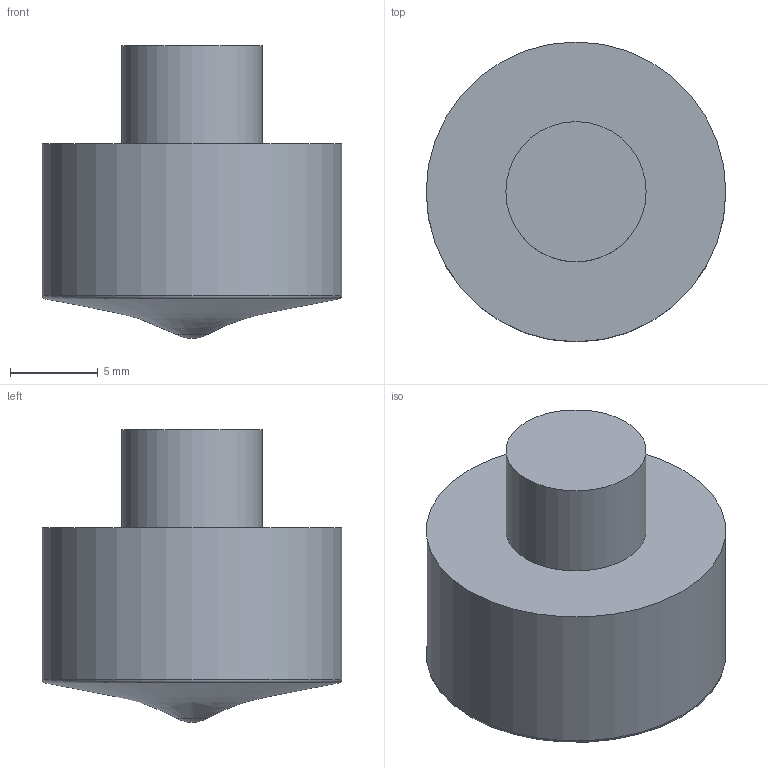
import cadquery as cq
import math

body_diameter = 17.1
pin_diameter = 8.0
total_height = 16.7
pin_height = 5.6

tip_radius = 1.8
flare_radius = 12.0
tip_angle = math.radians(28.5)
cone_angle = math.radians(11.0)
rim_radius = 0.2

body_radius = body_diameter / 2
pin_radius = pin_diameter / 2
shoulder_z = total_height - pin_height


def arc_point(center, radius, angle):
    """Point (r, z) on an arc; the angle is measured from straight down."""
    return (center[0] + radius * math.sin(angle), center[1] - radius * math.cos(angle))


tip_center = (0, tip_radius)
tip_end = arc_point(tip_center, tip_radius, tip_angle)
tip_mid = arc_point(tip_center, tip_radius, tip_angle / 2)

flare_center = arc_point(tip_center, tip_radius + flare_radius, tip_angle)
flare_mid = arc_point(flare_center, -flare_radius, (tip_angle + cone_angle) / 2)
flare_end = arc_point(flare_center, -flare_radius, cone_angle)

rim_center_r = body_radius - rim_radius
cone_z_below_rim_center = flare_end[1] + (rim_center_r - flare_end[0]) * math.tan(cone_angle)
rim_center = (rim_center_r, cone_z_below_rim_center + rim_radius / math.cos(cone_angle))
wall_angle = math.pi / 2
rim_start = arc_point(rim_center, rim_radius, cone_angle)
rim_mid = arc_point(rim_center, rim_radius, (cone_angle + wall_angle) / 2)
rim_end = arc_point(rim_center, rim_radius, wall_angle)


def make_body():
    """Body with its pointed underside, revolved about Z."""
    profile = (
        cq.Workplane("XZ")
        .moveTo(0, 0)
        .threePointArc(tip_mid, tip_end)
        .threePointArc(flare_mid, flare_end)
        .lineTo(*rim_start)
        .threePointArc(rim_mid, rim_end)
        .lineTo(body_radius, shoulder_z)
        .lineTo(0, shoulder_z)
        .close()
    )
    return profile.revolve(360, (0, 0, 0), (0, 1, 0))


def make_pin():
    """Plain pin standing on the flat shoulder."""
    return cq.Workplane("XY").workplane(offset=shoulder_z).circle(pin_radius).extrude(pin_height)


result = make_body().union(make_pin())